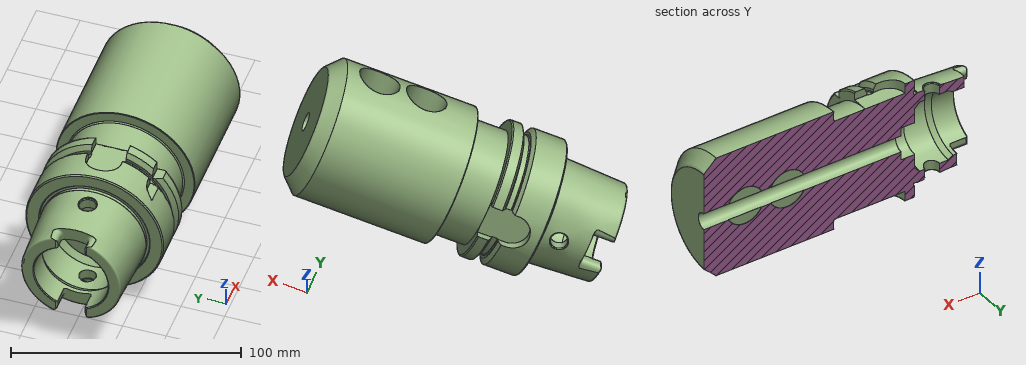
import cadquery as cq
import math


TOTAL_LENGTH = 142.0
FLANGE_FACE_X = 32.0
FLANGE_LENGTH = 26.0
FLANGE_END_X = FLANGE_FACE_X + FLANGE_LENGTH
BODY_START_X = 74.1
NOSE_START_X = 135.6

TAPER_RADIUS_AT_TIP = 22.7
TAPER_SLOPE = 0.05
TIP_ROUNDING = 1.0
TAPER_END_X = FLANGE_FACE_X - 1.4
TAPER_END_RADIUS = TAPER_RADIUS_AT_TIP + TAPER_SLOPE * TAPER_END_X
RELIEF_STEP = 0.3
FACE_RECESS_DEPTH = 0.4
FACE_RECESS_RADIUS = 25.5

FLANGE_RADIUS = 63.0 / 2
FLANGE_EDGE = 0.5
GROOVE_CENTER_X = 49.8
GROOVE_BOTTOM_WIDTH = 3.3
GROOVE_BOTTOM_RADIUS = 27.5
GROOVE_ROOT_CHAMFER = 0.4
GROOVE_FLANK_DEPTH = 2.4
GROOVE_FLANK_ANGLE = 30.0
GROOVE_FLANK_RUN = GROOVE_FLANK_DEPTH * math.tan(math.radians(GROOVE_FLANK_ANGLE))

NECK_RADIUS = 53.0 / 2
NECK_ROOT_CHAMFER = 0.5
BODY_RADIUS = 63.5 / 2
BODY_EDGE = 0.3
NOSE_RIM_RADIUS = 26.1
NOSE_EDGE = 0.5
NOSE_EDGE_DROP = 0.9

ENTRY_CHAMFER = 0.4
BORE_RADIUS = 34.0 / 2
BORE_STEP_X = 11.9
CAVITY_RADIUS = 18.5
CAVITY_CONE_ANGLE = 30.0
BORE_FLOOR_RADIUS = 31.8 / 2
BORE_FLOOR_X = FLANGE_FACE_X
COUNTERBORE_RADIUS = 16.9 / 2
COUNTERBORE_DEPTH = 7.1
THROUGH_RADIUS = 8.4 / 2

DRIVE_SLOT_WIDTH = 12.5
TOP_DRIVE_SLOT_DEPTH = 6.1
BOTTOM_DRIVE_SLOT_DEPTH = 10.0
DRIVE_SLOT_CORNER = 1.3
DRIVE_SLOT_FLARE = 2.4
DRIVE_SLOT_SHOULDER_Z = 20.7
DRIVE_SLOT_EDGE = 0.9

CROSS_HOLE_X = 22.9
CROSS_HOLE_DIAMETER = 7.5
CROSS_HOLE_RIM_DIAMETER = 8.4

KEY_SLOT_RADIUS = 8.0
KEY_SLOT_ARC_X = 45.0
KEY_SLOT_FLOOR_Z = NECK_RADIUS
NOTCH_OFFSET = 20.0

SCREW_HOLE_DIAMETER = 19.0
SCREW_HOLE_XS = (98.4, 120.4)

CLEARANCE = 7.1


def revolve_about_x(outline):
    """Solid of revolution about the X axis from a closed (x, radius) outline."""
    return outline.close().revolve(360, (0, 0, 0), (1, 0, 0))


def turned_outside():
    half_bottom = GROOVE_BOTTOM_WIDTH / 2
    flank_radius = FLANGE_RADIUS - GROOVE_FLANK_DEPTH
    root_radius = GROOVE_BOTTOM_RADIUS + GROOVE_ROOT_CHAMFER
    relief_radius = TAPER_END_RADIUS - RELIEF_STEP
    recess_x = FLANGE_FACE_X + FACE_RECESS_DEPTH
    recess_floor_radius = FACE_RECESS_RADIUS - FACE_RECESS_DEPTH
    rounded_radius = TAPER_RADIUS_AT_TIP + TAPER_SLOPE * TIP_ROUNDING
    rounding_sine = math.sin(math.radians(45))
    nose_rim_x = TOTAL_LENGTH - NOSE_EDGE

    outline = (
        cq.Workplane("XY")
        .moveTo(0, 0)
        .lineTo(0, rounded_radius - TIP_ROUNDING)
        .threePointArc(
            (TIP_ROUNDING * (1 - rounding_sine), rounded_radius - TIP_ROUNDING * (1 - rounding_sine)),
            (TIP_ROUNDING, rounded_radius),
        )
        .lineTo(TAPER_END_X, TAPER_END_RADIUS)
        .lineTo(TAPER_END_X + RELIEF_STEP, relief_radius)
        .lineTo(recess_x, relief_radius)
        .lineTo(recess_x, recess_floor_radius)
        .lineTo(FLANGE_FACE_X, FACE_RECESS_RADIUS)
        .lineTo(FLANGE_FACE_X, FLANGE_RADIUS - FLANGE_EDGE)
        .lineTo(FLANGE_FACE_X + FLANGE_EDGE, FLANGE_RADIUS)
        .lineTo(GROOVE_CENTER_X - half_bottom - GROOVE_FLANK_RUN, FLANGE_RADIUS)
        .lineTo(GROOVE_CENTER_X - half_bottom, flank_radius)
        .lineTo(GROOVE_CENTER_X - half_bottom, root_radius)
        .lineTo(GROOVE_CENTER_X - half_bottom + GROOVE_ROOT_CHAMFER, GROOVE_BOTTOM_RADIUS)
        .lineTo(GROOVE_CENTER_X + half_bottom - GROOVE_ROOT_CHAMFER, GROOVE_BOTTOM_RADIUS)
        .lineTo(GROOVE_CENTER_X + half_bottom, root_radius)
        .lineTo(GROOVE_CENTER_X + half_bottom, flank_radius)
        .lineTo(GROOVE_CENTER_X + half_bottom + GROOVE_FLANK_RUN, FLANGE_RADIUS)
        .lineTo(FLANGE_END_X - FLANGE_EDGE, FLANGE_RADIUS)
        .lineTo(FLANGE_END_X, FLANGE_RADIUS - FLANGE_EDGE)
        .lineTo(FLANGE_END_X, NECK_RADIUS)
        .lineTo(BODY_START_X - NECK_ROOT_CHAMFER, NECK_RADIUS)
        .lineTo(BODY_START_X, NECK_RADIUS + NECK_ROOT_CHAMFER)
        .lineTo(BODY_START_X, BODY_RADIUS - BODY_EDGE)
        .lineTo(BODY_START_X + BODY_EDGE, BODY_RADIUS)
        .lineTo(NOSE_START_X, BODY_RADIUS)
        .lineTo(nose_rim_x, NOSE_RIM_RADIUS)
        .lineTo(TOTAL_LENGTH, NOSE_RIM_RADIUS - NOSE_EDGE_DROP)
        .lineTo(TOTAL_LENGTH, 0)
    )
    return revolve_about_x(outline)


def stepped_bore():
    cone_run = (CAVITY_RADIUS - BORE_RADIUS) / math.tan(math.radians(CAVITY_CONE_ANGLE))
    floor_run = CAVITY_RADIUS - BORE_FLOOR_RADIUS
    counterbore_x = BORE_FLOOR_X + COUNTERBORE_DEPTH
    outline = (
        cq.Workplane("XY")
        .moveTo(0, 0)
        .lineTo(0, BORE_RADIUS + ENTRY_CHAMFER)
        .lineTo(ENTRY_CHAMFER, BORE_RADIUS)
        .lineTo(BORE_STEP_X, BORE_RADIUS)
        .lineTo(BORE_STEP_X + cone_run, CAVITY_RADIUS)
        .lineTo(BORE_FLOOR_X - floor_run, CAVITY_RADIUS)
        .lineTo(BORE_FLOOR_X, BORE_FLOOR_RADIUS)
        .lineTo(BORE_FLOOR_X, COUNTERBORE_RADIUS)
        .lineTo(counterbore_x, COUNTERBORE_RADIUS)
        .lineTo(counterbore_x, THROUGH_RADIUS)
        .lineTo(TOTAL_LENGTH, THROUGH_RADIUS)
        .lineTo(TOTAL_LENGTH, 0)
    )
    return revolve_about_x(outline)


def drive_slot(depth):
    """Cutter for a slot on the +Z side of the tip, flaring outward to a flat shoulder."""
    half_width = DRIVE_SLOT_WIDTH / 2
    flare_start_z = DRIVE_SLOT_SHOULDER_Z - DRIVE_SLOT_FLARE
    flare_end_y = half_width + DRIVE_SLOT_FLARE
    outer_y = flare_end_y + CLEARANCE
    outer_z = DRIVE_SLOT_SHOULDER_Z + CLEARANCE
    flare_offset = DRIVE_SLOT_FLARE * (1 - math.cos(math.radians(45)))
    slot = (
        cq.Workplane("YZ")
        .moveTo(-half_width, 0)
        .lineTo(half_width, 0)
        .lineTo(half_width, flare_start_z)
        .threePointArc(
            (half_width + flare_offset, DRIVE_SLOT_SHOULDER_Z - flare_offset),
            (flare_end_y, DRIVE_SLOT_SHOULDER_Z),
        )
        .lineTo(outer_y, DRIVE_SLOT_SHOULDER_Z)
        .lineTo(outer_y, outer_z)
        .lineTo(-outer_y, outer_z)
        .lineTo(-outer_y, DRIVE_SLOT_SHOULDER_Z)
        .lineTo(-flare_end_y, DRIVE_SLOT_SHOULDER_Z)
        .threePointArc(
            (-half_width - flare_offset, DRIVE_SLOT_SHOULDER_Z - flare_offset),
            (-half_width, flare_start_z),
        )
        .close()
        .extrude(depth)
    )
    slot = slot.faces(">X").edges().fillet(DRIVE_SLOT_CORNER)
    entry = (
        cq.Workplane("XY")
        .moveTo(0, -half_width - DRIVE_SLOT_EDGE)
        .lineTo(DRIVE_SLOT_EDGE, -half_width)
        .lineTo(DRIVE_SLOT_EDGE, half_width)
        .lineTo(0, half_width + DRIVE_SLOT_EDGE)
        .close()
        .extrude(DRIVE_SLOT_SHOULDER_Z)
    )
    return slot.union(entry)


def cross_hole():
    """Radial hole through both shank walls with a countersunk rim on each side."""
    rim_depth = (CROSS_HOLE_RIM_DIAMETER - CROSS_HOLE_DIAMETER) / 2
    surface_z = TAPER_RADIUS_AT_TIP + TAPER_SLOPE * CROSS_HOLE_X
    hole_radius = CROSS_HOLE_DIAMETER / 2
    rim_radius = CROSS_HOLE_RIM_DIAMETER / 2
    outline = (
        cq.Workplane("XZ")
        .lineTo(hole_radius, 0)
        .lineTo(hole_radius, surface_z - 2 * rim_depth)
        .lineTo(rim_radius, surface_z - rim_depth)
        .lineTo(rim_radius, surface_z + CLEARANCE)
        .lineTo(0, surface_z + CLEARANCE)
        .close()
    )
    upper = outline.revolve(360, (0, 0, 0), (0, 1, 0))
    return upper.union(upper.mirror("XY")).translate((CROSS_HOLE_X, 0, 0))


def round_ended_slot(center_y, floor_z):
    """Slot cutter open upward and toward +X, ending at the flange's rear face."""
    length = FLANGE_END_X - KEY_SLOT_ARC_X
    height = FLANGE_RADIUS + CLEARANCE - floor_z
    run = cq.Workplane("XY").box(length, 2 * KEY_SLOT_RADIUS, height, centered=(False, True, False))
    end = cq.Workplane("XY").circle(KEY_SLOT_RADIUS).extrude(height)
    return run.union(end).translate((KEY_SLOT_ARC_X, center_y, floor_z))


def screw_hole(x):
    """Radial hole entering from the +Y side and meeting the axial bore."""
    return (
        cq.Workplane("XZ")
        .center(x, 0)
        .circle(SCREW_HOLE_DIAMETER / 2)
        .extrude(-(BODY_RADIUS + CLEARANCE))
    )


top_key_slot = round_ended_slot(0, KEY_SLOT_FLOOR_Z)
cutters = [
    stepped_bore(),
    drive_slot(TOP_DRIVE_SLOT_DEPTH),
    drive_slot(BOTTOM_DRIVE_SLOT_DEPTH).mirror("XY"),
    cross_hole(),
    top_key_slot,
    top_key_slot.mirror("XY"),
    round_ended_slot(-NOTCH_OFFSET - KEY_SLOT_RADIUS, NOTCH_OFFSET),
]
for hole_x in SCREW_HOLE_XS:
    cutters.append(screw_hole(hole_x))

result = turned_outside()
for cutter in cutters:
    result = result.cut(cutter)